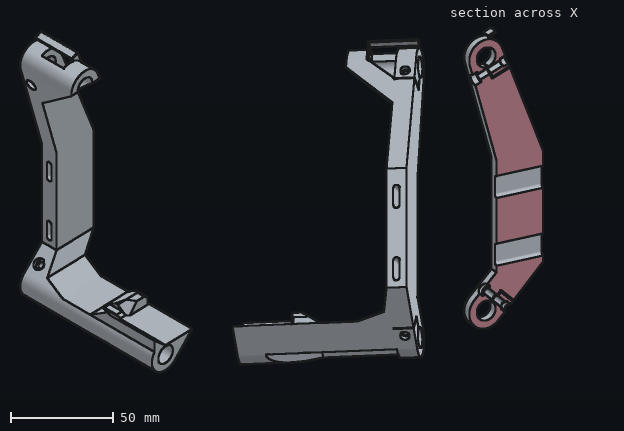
import cadquery as cq
import math

TUBE_R = 9.6
BORE_D = 10.3
FRAME_W = 10.1
UPPER_LEN = 35.0
LOWER_LEN = 90.0
UPPER_Z = 135.0
FRONT_Y = 5.7
BACK_Y = 32.0
BEND_LOW_Z = 19.2
BEND_HIGH_Z = 78.7

UPPER_GUSSET_Z = 114.4
UPPER_GUSSET_END_Z = 134.4
GUSSET_KNEE_X = 13.4
GUSSET_KNEE_Z = 9.3
GUSSET_END_X = 27.6

SLIT_W = 0.5
SLIT_REACH = 12.3
UPPER_SPLIT = -1.3
LOWER_SPLIT = -0.3
UPPER_WINDOW_END = 25.0
LOWER_WINDOW_END = 50.0
LOWER_WINDOW_SLOPE = 2.6
SCREW_REACH = 7.5
SCREW_D = 3.3
SCREW_HEAD_D = 6.0
SCREW_HEAD_FLOOR = 7.1
NUT_D = 4.5
NUT_DEPTH = 3.2

SLOT_W = 3.2
SLOT_LEN = 11.5
SLOT_HEIGHTS = (28.5, 64.7)

DECK_Z = 5.7
RAIL_TOP_Z = 12.5
RAIL_FOOT_Y = 0.0
RAIL_RAISE = 0.8
RAIL_TAPER = 2.0
RAMP_START_X = 46.0
RAMP_PEAK_X = 57.9
RAMP_END_X = 60.5
LUG_TOP_Z = 12.0
LUG_SHOULDER_Z = 9.0
LUG_BACK_Y = 15.3
LUG_FRONT_Y = 7.3
LUG_CORNER = 1.1
LUG_FACET_X = 55.8
LUG_FACET_TOP_Y = 10.1
LUG_FACET_FOOT_Y = 6.2
GROOVE_Y = 4.0
GROOVE_SIDE_Z = 9.5
GROOVE_Z = 7.0
GROOVE_FALL_X = 56.6
GROOVE_END_X = 58.8

GUARD_REACH = 10.3
GUARD_T = 1.0
GUARD_INNER = 5.0
GUARD_WEB_T = 0.3

CUT_LEN = 315.5
CUT_R = 2 * TUBE_R
DECK_FRONT_Y = -math.sqrt(TUBE_R**2 - DECK_Z**2)
SCREW_X = FRAME_W / 2


def tangent_angle(y, z, centre_z, side):
    """Angle about the tube axis where a line from (y, z) touches the tube."""
    distance = math.hypot(y, z - centre_z)
    return math.atan2(z - centre_z, y) + side * math.acos(TUBE_R / distance)


def on_tube(angle, centre_z):
    return (TUBE_R * math.cos(angle), centre_z + TUBE_R * math.sin(angle))


UPPER_BACK = tangent_angle(BACK_Y, BEND_HIGH_Z, UPPER_Z, 1)
UPPER_FRONT = tangent_angle(FRONT_Y, BEND_HIGH_Z, UPPER_Z, -1)
LOWER_BACK = tangent_angle(BACK_Y, BEND_LOW_Z, 0, -1)
LOWER_FRONT = tangent_angle(FRONT_Y, BEND_LOW_Z, 0, 1)


def box(x0, x1, y0, y1, z0, z1):
    return cq.Workplane("XY").box(x1 - x0, y1 - y0, z1 - z0, centered=False).translate((x0, y0, z0))


def xz_prism(points):
    """Prism through the full depth of the part."""
    return cq.Workplane("XZ").polyline(points).close().extrude(CUT_LEN / 2, both=True)


def yz_prism(points, x0, x1):
    return cq.Workplane("YZ").workplane(offset=x0).polyline(points).close().extrude(x1 - x0)


def at_tube(shape, angle, centre_z):
    """Turn a shape so that its local +Y points out of the back face at the given tube."""
    return shape.rotate((0, 0, 0), (1, 0, 0), math.degrees(angle)).translate((0, 0, centre_z))


def side_profile():
    upper_mid = UPPER_BACK + ((UPPER_FRONT - UPPER_BACK) % (2 * math.pi)) / 2
    lower_mid = LOWER_FRONT + ((LOWER_BACK - LOWER_FRONT) % (2 * math.pi)) / 2
    return (
        cq.Workplane("YZ")
        .moveTo(BACK_Y, BEND_LOW_Z)
        .lineTo(BACK_Y, BEND_HIGH_Z)
        .lineTo(*on_tube(UPPER_BACK, UPPER_Z))
        .threePointArc(on_tube(upper_mid, UPPER_Z), on_tube(UPPER_FRONT, UPPER_Z))
        .lineTo(FRONT_Y, BEND_HIGH_Z)
        .lineTo(FRONT_Y, BEND_LOW_Z)
        .lineTo(*on_tube(LOWER_FRONT, 0))
        .threePointArc(on_tube(lower_mid, 0), on_tube(LOWER_BACK, 0))
        .close()
        .extrude(LOWER_LEN)
    )


def front_outline():
    """The upright, both tubes and their gussets as one X-Z prism."""
    low = -CUT_R
    high = UPPER_Z + CUT_R
    return xz_prism([
        (0, low),
        (LOWER_LEN, low),
        (LOWER_LEN, DECK_Z),
        (GUSSET_END_X, DECK_Z),
        (GUSSET_KNEE_X, GUSSET_KNEE_Z),
        (FRAME_W, BEND_LOW_Z),
        (FRAME_W, UPPER_GUSSET_Z),
        (UPPER_LEN, UPPER_GUSSET_END_Z),
        (UPPER_LEN, high),
        (0, high),
    ])


def deck_back_y():
    """Y where the deck plane meets the lower back face."""
    foot_y, foot_z = on_tube(LOWER_BACK, 0)
    return foot_y + (BACK_Y - foot_y) * (DECK_Z - foot_z) / (BEND_LOW_Z - foot_z)


def rail_section(top_z):
    """Triangle with an upright front, sloping down to the deck at a fixed pitch."""
    rail_slope = (RAIL_TOP_Z - DECK_Z) / (RAIL_FOOT_Y - DECK_FRONT_Y)
    foot_y = DECK_FRONT_Y + (top_z - DECK_Z) / rail_slope
    return [(DECK_FRONT_Y, DECK_Z), (foot_y, DECK_Z), (DECK_FRONT_Y, top_z)]


def rail():
    return yz_prism(rail_section(RAIL_TOP_Z), RAMP_START_X, LOWER_LEN)


def raised_rail():
    """Slightly higher start of the rail, tapering down to the plain rail."""
    high = rail_section(RAIL_TOP_Z + RAIL_RAISE)
    taper = (
        cq.Workplane("YZ", origin=(RAMP_PEAK_X, 0, 0)).polyline(high).close()
        .workplane(offset=RAIL_TAPER).polyline(rail_section(RAIL_TOP_Z)).close()
        .loft(ruled=True)
    )
    return yz_prism(high, RAMP_START_X, RAMP_PEAK_X).union(taper)


def groove_floor():
    """Raised floor between the rail and the lug, falling to the deck at its far end."""
    profile = [
        (RAMP_START_X, DECK_Z),
        (RAMP_START_X, GROOVE_Z),
        (GROOVE_FALL_X, GROOVE_Z),
        (GROOVE_END_X, DECK_Z),
    ]
    floor = cq.Workplane("XZ", origin=(0, GROOVE_Y, 0)).polyline(profile).close()
    return floor.extrude(GROOVE_Y - RAIL_FOOT_Y)


def lug():
    """Block with a chamfered back, a sloping front and a slanting facet at its front end corner."""
    back = deck_back_y()
    block = yz_prism(
        [
            (GROOVE_Y, DECK_Z),
            (back, DECK_Z),
            (back, LUG_SHOULDER_Z),
            (LUG_BACK_Y, LUG_TOP_Z),
            (LUG_FRONT_Y, LUG_TOP_Z),
            (GROOVE_Y, GROOVE_SIDE_Z),
        ],
        RAMP_START_X, RAMP_END_X,
    )
    corner = cq.Workplane("XY").polyline([
        (RAMP_END_X - LUG_CORNER, back),
        (RAMP_END_X, back - LUG_CORNER),
        (RAMP_END_X, back),
    ]).close().extrude(CUT_LEN)

    facet_start = cq.Vector(LUG_FACET_X, LUG_FRONT_Y, LUG_TOP_Z)
    facet_top = cq.Vector(RAMP_END_X, LUG_FACET_TOP_Y, LUG_TOP_Z)
    facet_foot = cq.Vector(RAMP_END_X, LUG_FACET_FOOT_Y, GROOVE_Z)
    along = facet_top - facet_start
    outward = (facet_foot - facet_top).cross(along)
    facet_plane = cq.Plane(origin=facet_start, xDir=along, normal=outward)
    beyond_facet = cq.Workplane(facet_plane).rect(CUT_LEN, CUT_LEN).extrude(CUT_LEN)
    return block.cut(corner).cut(beyond_facet)


def ramp_limit():
    """Everything below the climbing ramp face and the level of its peak."""
    return xz_prism([
        (RAMP_START_X, DECK_Z),
        (RAMP_PEAK_X, RAIL_TOP_Z + RAIL_RAISE),
        (LOWER_LEN, RAIL_TOP_Z + RAIL_RAISE),
        (LOWER_LEN, DECK_Z),
    ])


def deck_features():
    return rail().union(raised_rail()).union(groove_floor()).union(lug()).intersect(ramp_limit())


def clamp_slit(split, toward):
    """L-shaped slit from the bore to the back face; toward is the local Z sign of the upright."""
    leg = box(0, FRAME_W, split, split + SLIT_W, 0, SLIT_REACH)
    foot = box(0, FRAME_W, split, CUT_R, SLIT_REACH - SLIT_W, SLIT_REACH)
    slit = leg.union(foot)
    return slit if toward > 0 else slit.mirror("XY")


def clamp_screw(toward):
    """Stepped screw hole through the clamp, headed at the front."""
    z = toward * SCREW_REACH

    def bore(diameter, y0, y1):
        return cq.Workplane("XZ", origin=(SCREW_X, y0, z)).circle(diameter / 2).extrude(y0 - y1)

    shank = bore(SCREW_D, -CUT_R, CUT_R)
    head = bore(SCREW_HEAD_D, -CUT_R, -SCREW_HEAD_FLOOR)
    nut = bore(NUT_D, TUBE_R - NUT_DEPTH, CUT_R)
    return shank.union(head).union(nut)


def upper_window():
    """Opening behind the upper bore, with a sloping lower edge."""
    return (
        cq.Workplane("XZ", origin=(0, UPPER_SPLIT, 0))
        .moveTo(FRAME_W, SLIT_W - SLIT_REACH)
        .lineTo(UPPER_WINDOW_END, 0)
        .lineTo(UPPER_WINDOW_END, CUT_R)
        .lineTo(FRAME_W, CUT_R)
        .close()
        .extrude(-CUT_R)
    )


def lower_window():
    """Opening beneath the lower bore, with a sloping far end."""
    end = LOWER_WINDOW_END + LOWER_WINDOW_SLOPE * (CUT_R - LOWER_SPLIT)
    return (
        cq.Workplane("XY")
        .polyline([(FRAME_W, LOWER_SPLIT), (LOWER_WINDOW_END, LOWER_SPLIT), (end, CUT_R), (FRAME_W, CUT_R)])
        .close()
        .extrude(-CUT_R)
    )


def make_frame():
    frame = side_profile().intersect(front_outline())
    frame = frame.union(deck_features())

    for centre_z in (0, UPPER_Z):
        bore = cq.Workplane("YZ").center(0, centre_z).circle(BORE_D / 2).extrude(LOWER_LEN)
        frame = frame.cut(bore)

    for slot_z in SLOT_HEIGHTS:
        slot = cq.Workplane("XZ", origin=(SCREW_X, 0, slot_z)).slot2D(SLOT_LEN, SLOT_W, 90)
        frame = frame.cut(slot.extrude(CUT_LEN, both=True))

    for cutter in (clamp_slit(UPPER_SPLIT, -1), clamp_screw(-1), upper_window()):
        frame = frame.cut(at_tube(cutter, UPPER_BACK, UPPER_Z))
    for cutter in (clamp_slit(LOWER_SPLIT, 1), clamp_screw(1), lower_window()):
        frame = frame.cut(at_tube(cutter, LOWER_BACK, 0))
    return frame


def make_guard():
    """Thin plate over the upper clamp, with an end web against the side of the window."""
    plate = box(0, UPPER_WINDOW_END, GUARD_INNER, TUBE_R, GUARD_REACH - GUARD_T, GUARD_REACH)
    web = box(UPPER_WINDOW_END - GUARD_WEB_T, UPPER_WINDOW_END, GUARD_INNER, TUBE_R, 0, GUARD_REACH)
    return at_tube(plate.union(web), UPPER_BACK, UPPER_Z)


frame = make_frame()
guard = make_guard()
result = cq.Compound.makeCompound([frame.val(), guard.val()])